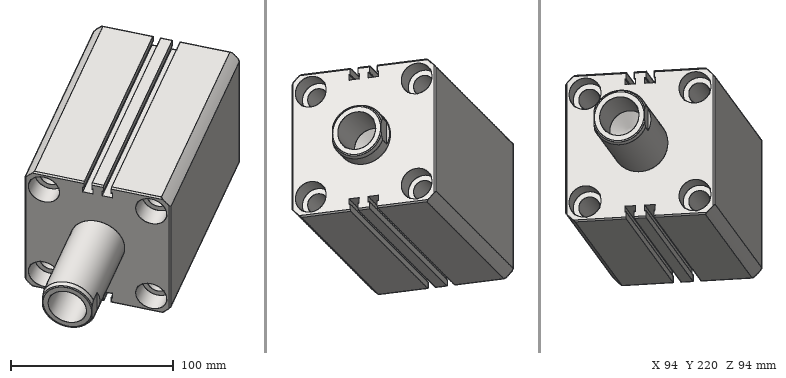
import cadquery as cq
import math


total_length = 220.0
front_reach = 63.0
rear_reach = 13.0
housing_length = total_length - front_reach - rear_reach
middle_y = housing_length / 2

housing_width = 94.0
corner_radius = 62.3
face_chamfer = 1.0

hole_spacing = 69.0
hole_diameter = 13.2
counterbore_diameter = 20.0
counterbore_depth = 13.0

slot_pitch = 12.5
slot_mouth_width = 5.0
slot_base_width = 6.5
slot_depth = 8.0
slot_mouth_depth = 4.5

rod_diameter = 35.0
rod_radius = rod_diameter / 2
nose_diameter = 33.0
tip_diameter = 31.2
chamfer_length = 2.9
tip_length = 0.33
flat_width = 32.0
flat_length = 10.3
flat_runout = 1.0

bore_diameter = 24.6
bore_depth = 30.8
drill_point_angle = 118.0


def y_cylinder(diameter, start_y, end_y, x=0.0, z=0.0):
    """Solid cylinder along Y between two positions."""
    return cq.Workplane(
        cq.Solid.makeCylinder(diameter / 2, end_y - start_y, cq.Vector(x, start_y, z), cq.Vector(0, 1, 0))
    )


def make_slot_pair():
    """Two parallel T-shaped slot cutters, open at the top face and at both ends."""
    top_z = housing_width / 2
    cutters = cq.Workplane()
    for x in (-slot_pitch / 2, slot_pitch / 2):
        for width, start_depth, end_depth in (
            (slot_mouth_width, 0.0, slot_mouth_depth),
            (slot_base_width, slot_mouth_depth, slot_depth),
        ):
            center_z = top_z - (start_depth + end_depth) / 2
            bar = cq.Workplane().box(width, housing_length, end_depth - start_depth)
            cutters = cutters.add(bar.translate((x, middle_y, center_z)))
    return cutters.combine()


def make_housing():
    """Square block with turned corners, rod bore, mounting holes and sensor slots."""
    block = (
        cq.Workplane()
        .box(housing_width, housing_length, housing_width)
        .translate((0, middle_y, 0))
        .faces("<Y or >Y")
        .chamfer(face_chamfer)
    )
    housing = block.intersect(y_cylinder(2 * corner_radius, 0, housing_length))
    housing = housing.cut(y_cylinder(rod_diameter, 0, housing_length))

    for x in (-hole_spacing / 2, hole_spacing / 2):
        for z in (-hole_spacing / 2, hole_spacing / 2):
            housing = housing.cut(y_cylinder(hole_diameter, 0, housing_length, x, z))
            housing = housing.cut(y_cylinder(counterbore_diameter, 0, counterbore_depth, x, z))
            rear_start = housing_length - counterbore_depth
            housing = housing.cut(y_cylinder(counterbore_diameter, rear_start, housing_length, x, z))

    slot_pair = make_slot_pair()
    housing = housing.cut(slot_pair)
    return housing.cut(slot_pair.mirror("XY"))


def make_flat_cutter(end_y):
    """Cutter for the +X wrench flat; its inner end slopes up to the rod surface."""
    flat_x = flat_width / 2
    flat_depth = rod_radius - flat_x
    outer_x = rod_radius + flat_depth
    flat_end_y = end_y + flat_length
    return (
        cq.Workplane("XY")
        .polyline([
            (flat_x, end_y),
            (outer_x, end_y),
            (outer_x, flat_end_y + 2 * flat_runout),
            (flat_x, flat_end_y),
        ])
        .close()
        .extrude(rod_radius, both=True)
    )


def make_rod(reach):
    """Rod from the middle plane of the housing to its tip, which points to -Y."""
    end_y = -reach
    bore_radius = bore_diameter / 2
    bore_floor_y = end_y + bore_depth
    cone_height = bore_radius / math.tan(math.radians(drill_point_angle / 2))
    rod = (
        cq.Workplane("XY")
        .polyline([
            (0, bore_floor_y + cone_height),
            (bore_radius, bore_floor_y),
            (bore_radius, end_y),
            (tip_diameter / 2, end_y),
            (nose_diameter / 2, end_y + tip_length),
            (rod_radius, end_y + chamfer_length),
            (rod_radius, middle_y),
            (0, middle_y),
        ])
        .close()
        .revolve(360, (0, 0, 0), (0, 1, 0))
    )
    flat_cutter = make_flat_cutter(end_y)
    return rod.cut(flat_cutter).cut(flat_cutter.mirror("YZ"))


housing = make_housing()
front_rod = make_rod(front_reach)
rear_rod = make_rod(rear_reach).mirror("XZ").translate((0, housing_length, 0))

result = cq.Compound.makeCompound([housing.val(), front_rod.val(), rear_rod.val()])